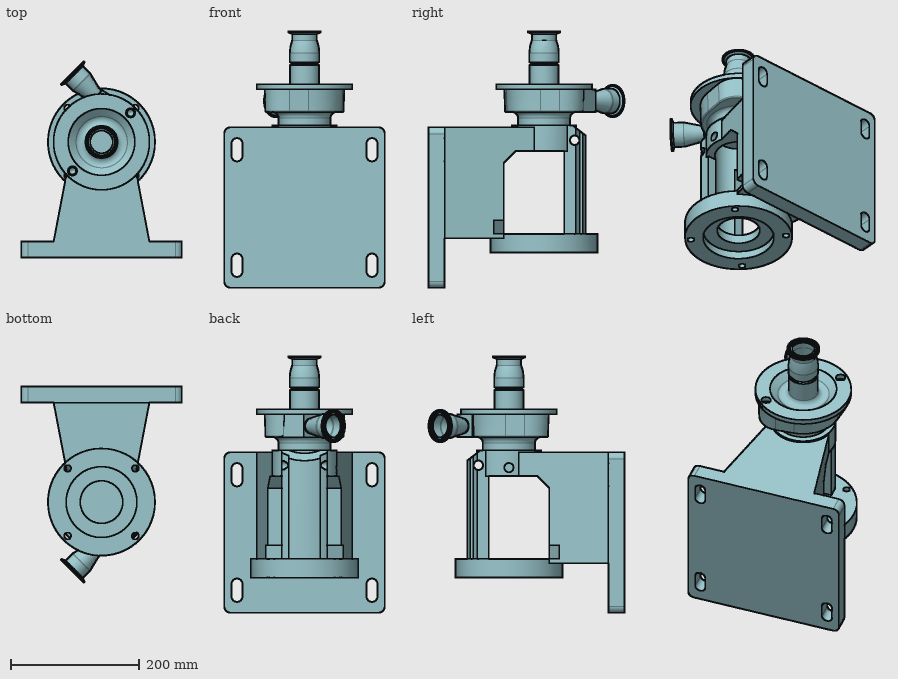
import cadquery as cq
import math


PLATE_SIZE = 250.0
PLATE_THICKNESS = 25.0
PLATE_FACE_Y = -180.2
PLATE_BACK_Y = PLATE_FACE_Y + PLATE_THICKNESS
PLATE_CORNER_RADIUS = 10.0
SLOT_LENGTH = 36.0
SLOT_WIDTH = 16.8
SLOT_PITCH_X = 210.0
SLOT_PITCH_Z = 180.0

WEB_TOP_Z = PLATE_SIZE
WEB_BOTTOM_Z = 77.0
WEB_FRONT_Y = -62.7
WEB_CHAMFER = 18.8
WEB_BACK_HALF_WIDTH = 74.7
WEB_TIP_HALF_WIDTH = 48.0
WEB_TIP_Y = -15.0

LANTERN_BORE_RADIUS = 36.8
UPPER_RING_RADIUS = math.hypot(WEB_TIP_HALF_WIDTH, WEB_TIP_Y)
UPPER_RING_BOTTOM_Z = 213.0
LANTERN_TOP_Z = 253.0
MOTOR_RING_RADIUS = 83.5
MOTOR_RING_BORE_RADIUS = 33.0
MOTOR_PILOT_RADIUS = 55.0
MOTOR_PILOT_DEPTH = 13.5
MOTOR_RING_BOTTOM_Z = 54.7
MOTOR_RING_TOP_Z = 84.0
MOTOR_BOLT_CIRCLE_RADIUS = 74.5
MOTOR_BOLT_HOLE_RADIUS = 5.0
MOTOR_BOLT_COUNT = 4
MOTOR_BOLT_START_ANGLE = 45
COLUMN_HALF_WIDTH = 35.0
COLUMN_FRONT_Y = 31.0
COLUMN_RADIUS = 60.5
RIB_RADIUS = 65.0
RIB_HALF_WIDTH = 24.5
COLUMN_CHAMFER_HEIGHT = 16.0
COLUMN_CHAMFER_DEPTH = 20.8
SIDE_HOLE_RADIUS = 7.0
RING_HOLE_Z = 226.0
COLUMN_HOLE_Y = 47.5
COLUMN_HOLE_Z = 229.8

BOLT_POCKET_TOP_Z = 105.0
BOLT_POCKET_X = 60.0
BOLT_POCKET_Y = -78.5
BOLT_POCKET_ANGLE = 30
BOLT_POCKET_SIZE = 48.0

PUMP_ANGLE = 45
NECK_RADIUS = 40.8
NECK_TOP_Z = 264.5
CASING_BOTTOM_Z = 273.7
CASING_TOP_Z = 309.0
CASING_RADIUS = 59.5
CASING_LENGTH = 147.0
LOBE_RADIUS = 35.0
LOBE_CENTER_U = CASING_LENGTH / 2 - LOBE_RADIUS
CASING_DRAFT = 2
CASING_EDGE_RADIUS = 2.0
COVER_RADIUS = 74.7
COVER_TOP_Z = 317.3
RECESS_RIM_RADIUS = 52.0
RECESS_CONE_RADIUS = 40.0
RECESS_CONE_DEPTH = 10.0
RECESS_HUB_DEPTH = 4.5
COVER_HOLE_POSITION_RADIUS = 64.0
COVER_HOLE_RADIUS = 7.0
TAPPED_HOLE_RADIUS = 5.5
TAPPED_HOLE_DEPTH = 20.0
TAPPED_HOLE_TIP_ANGLE = 118

CLAMP_RADIUS = 25.0
CLAMP_RIM_THICKNESS = 2.0
CLAMP_THICKNESS = 4.5
CLAMP_GROOVE_RADII = (20.8, 22.8)
CLAMP_GROOVE_DEPTH = 1.0
PIPE_RADIUS = 19.0
PIPE_BORE_RADIUS = 17.5
INLET_TOP_Z = 399.5
INLET_RADIUS = 22.8
INLET_SHOULDER_RADIUS = 23.0
INLET_NECK_Z = 385.5
INLET_SHOULDER_Z = 365.5
INLET_GROOVE_RADIUS = 20.8
INLET_GROOVE_Z = (346.5, 349.0, 351.0)
INLET_BORE_FLOOR_Z = 287.7

OUTLET_OFFSET = 44.0
OUTLET_Z = 291.0
OUTLET_FACE_V = 108.3
OUTLET_NECK_LENGTH = 20.0
OUTLET_PAD_V = 56.0
OUTLET_PAD_U = (24.5, 57.5)
OUTLET_ROOT_RADIUS = 11.5
OUTLET_WALL = PIPE_RADIUS - PIPE_BORE_RADIUS


def disc(radius, bottom, top):
    return cq.Workplane("XY").workplane(offset=bottom).circle(radius).extrude(top - bottom)


def cross_hole(radius, y, z, start_x, length):
    """Cylinder along +X for drilling."""
    return cq.Workplane("YZ", origin=(start_x, y, z)).circle(radius).extrude(length)


def clamp():
    """Clamp flange with a sloping back and a gasket groove; its face lies in the plane Z = 0."""
    flange = (
        cq.Workplane("XZ")
        .lineTo(CLAMP_RADIUS, 0)
        .lineTo(CLAMP_RADIUS, -CLAMP_RIM_THICKNESS)
        .lineTo(PIPE_RADIUS, -CLAMP_THICKNESS)
        .lineTo(0, -CLAMP_THICKNESS)
        .close()
        .revolve(360, (0, 0, 0), (0, 1, 0))
    )
    inner, outer = CLAMP_GROOVE_RADII
    return flange.cut(cq.Workplane("XY").circle(outer).circle(inner).extrude(-CLAMP_GROOVE_DEPTH))


def wall_plate():
    plate = (
        cq.Workplane("XZ", origin=(0, PLATE_FACE_Y, PLATE_SIZE / 2))
        .rect(PLATE_SIZE, PLATE_SIZE)
        .extrude(-PLATE_THICKNESS)
        .edges("|Y")
        .fillet(PLATE_CORNER_RADIUS)
    )
    slots = (
        cq.Workplane("XZ", origin=(0, PLATE_FACE_Y, PLATE_SIZE / 2))
        .rect(SLOT_PITCH_X, SLOT_PITCH_Z, forConstruction=True)
        .vertices()
        .slot2D(SLOT_LENGTH, SLOT_WIDTH, 90)
        .extrude(-PLATE_THICKNESS)
    )
    return plate.cut(slots)


def bracket_web():
    """Tapered in plan, with a side profile that leaves room for the coupling."""
    plan = (
        cq.Workplane("XY")
        .polyline(
            [
                (-WEB_BACK_HALF_WIDTH, PLATE_BACK_Y),
                (WEB_BACK_HALF_WIDTH, PLATE_BACK_Y),
                (WEB_TIP_HALF_WIDTH, WEB_TIP_Y),
                (-WEB_TIP_HALF_WIDTH, WEB_TIP_Y),
            ]
        )
        .close()
        .extrude(WEB_TOP_Z)
    )
    side = (
        cq.Workplane("YZ")
        .polyline(
            [
                (PLATE_BACK_Y, WEB_BOTTOM_Z),
                (WEB_FRONT_Y, WEB_BOTTOM_Z),
                (WEB_FRONT_Y, UPPER_RING_BOTTOM_Z - WEB_CHAMFER),
                (WEB_FRONT_Y + WEB_CHAMFER, UPPER_RING_BOTTOM_Z),
                (WEB_TIP_Y, UPPER_RING_BOTTOM_Z),
                (WEB_TIP_Y, WEB_TOP_Z),
                (PLATE_BACK_Y, WEB_TOP_Z),
            ]
        )
        .close()
        .extrude(WEB_BACK_HALF_WIDTH, both=True)
    )
    return plan.intersect(side)


def column():
    """Rear column with a raised central rib and a sloping top."""
    height = LANTERN_TOP_Z - MOTOR_RING_TOP_Z
    base = cq.Workplane("XY").workplane(offset=MOTOR_RING_TOP_Z)
    depth = RIB_RADIUS - COLUMN_FRONT_Y
    middle_y = COLUMN_FRONT_Y + depth / 2
    post = base.circle(COLUMN_RADIUS).extrude(height)
    post = post.intersect(base.center(0, middle_y).rect(2 * COLUMN_HALF_WIDTH, depth).extrude(height))
    rib = base.circle(RIB_RADIUS).extrude(height)
    rib = rib.intersect(base.center(0, middle_y).rect(2 * RIB_HALF_WIDTH, depth).extrude(height))
    slope = (
        cq.Workplane("YZ")
        .polyline(
            [
                (RIB_RADIUS, LANTERN_TOP_Z - COLUMN_CHAMFER_HEIGHT),
                (RIB_RADIUS, LANTERN_TOP_Z),
                (RIB_RADIUS - COLUMN_CHAMFER_DEPTH, LANTERN_TOP_Z),
            ]
        )
        .close()
        .extrude(COLUMN_HALF_WIDTH, both=True)
    )
    return post.union(rib).cut(slope)


def motor_ring():
    ring = disc(MOTOR_RING_RADIUS, MOTOR_RING_BOTTOM_Z, MOTOR_RING_TOP_Z)
    bore = disc(MOTOR_RING_BORE_RADIUS, MOTOR_RING_BOTTOM_Z, MOTOR_RING_TOP_Z)
    pilot = disc(MOTOR_PILOT_RADIUS, MOTOR_RING_BOTTOM_Z, MOTOR_RING_BOTTOM_Z + MOTOR_PILOT_DEPTH)
    return ring.cut(bore).cut(pilot)


def motor_bolt_holes():
    return (
        cq.Workplane("XY")
        .workplane(offset=MOTOR_RING_BOTTOM_Z)
        .polarArray(MOTOR_BOLT_CIRCLE_RADIUS, MOTOR_BOLT_START_ANGLE, 360, MOTOR_BOLT_COUNT)
        .circle(MOTOR_BOLT_HOLE_RADIUS)
        .extrude(BOLT_POCKET_TOP_Z - MOTOR_RING_BOTTOM_Z)
    )


def bolt_pocket():
    """Corner cut on the -X side of the web, above the motor ring."""
    return (
        cq.Workplane("XY")
        .rect(2 * BOLT_POCKET_SIZE, BOLT_POCKET_SIZE)
        .extrude(BOLT_POCKET_TOP_Z - MOTOR_RING_TOP_Z)
        .translate((0, BOLT_POCKET_SIZE / 2, 0))
        .rotate((0, 0, 0), (0, 0, 1), BOLT_POCKET_ANGLE)
        .translate((-BOLT_POCKET_X, BOLT_POCKET_Y, MOTOR_RING_TOP_Z))
    )


def mount():
    """Wall plate, web and lantern."""
    upper_ring = disc(UPPER_RING_RADIUS, UPPER_RING_BOTTOM_Z, LANTERN_TOP_Z)
    lantern = upper_ring.union(column()).union(bracket_web())
    lantern = lantern.cut(disc(LANTERN_BORE_RADIUS, MOTOR_RING_TOP_Z, LANTERN_TOP_Z))
    lantern = lantern.cut(
        cross_hole(SIDE_HOLE_RADIUS, COLUMN_HOLE_Y, COLUMN_HOLE_Z, -COLUMN_HALF_WIDTH, 2 * COLUMN_HALF_WIDTH)
    )
    lantern = lantern.cut(cross_hole(SIDE_HOLE_RADIUS, 0, RING_HOLE_Z, -UPPER_RING_RADIUS, UPPER_RING_RADIUS))
    pocket = bolt_pocket()
    lantern = lantern.cut(pocket).cut(pocket.mirror("YZ"))
    return lantern.union(motor_ring()).cut(motor_bolt_holes()).union(wall_plate())


def casing_body():
    """Drafted oblong in the U-V frame: a central circle joined by tangents to a lobe at each end."""
    normal_u = (CASING_RADIUS - LOBE_RADIUS) / LOBE_CENTER_U
    normal_v = math.sqrt(1 - normal_u**2)
    middle_end = (CASING_RADIUS * normal_u, CASING_RADIUS * normal_v)
    lobe_end = (LOBE_CENTER_U + LOBE_RADIUS * normal_u, LOBE_RADIUS * normal_v)
    return (
        cq.Workplane("XY")
        .workplane(offset=CASING_TOP_Z)
        .moveTo(-middle_end[0], middle_end[1])
        .threePointArc((0, CASING_RADIUS), middle_end)
        .lineTo(*lobe_end)
        .threePointArc((CASING_LENGTH / 2, 0), (lobe_end[0], -lobe_end[1]))
        .lineTo(middle_end[0], -middle_end[1])
        .threePointArc((0, -CASING_RADIUS), (-middle_end[0], -middle_end[1]))
        .lineTo(-lobe_end[0], -lobe_end[1])
        .threePointArc((-CASING_LENGTH / 2, 0), (-lobe_end[0], lobe_end[1]))
        .close()
        .extrude(CASING_BOTTOM_Z - CASING_TOP_Z, taper=CASING_DRAFT)
        .faces("<Z")
        .edges()
        .fillet(CASING_EDGE_RADIUS)
    )


def outlet_pad():
    """Block in the U-V frame whose outer side runs tangentially into the +U lobe."""
    inner_u, outer_u = OUTLET_PAD_U
    height = CASING_TOP_Z - CASING_BOTTOM_Z
    draft_inset = height * math.tan(math.radians(CASING_DRAFT))
    lobe_radius = LOBE_RADIUS - draft_inset - CASING_EDGE_RADIUS
    corner_distance = math.hypot(outer_u - LOBE_CENTER_U, OUTLET_PAD_V)
    corner_angle = math.atan2(OUTLET_PAD_V, outer_u - LOBE_CENTER_U)
    tangent_angle = corner_angle - math.acos(lobe_radius / corner_distance)
    tangent_u = LOBE_CENTER_U + lobe_radius * math.cos(tangent_angle)
    tangent_v = lobe_radius * math.sin(tangent_angle)
    return (
        cq.Workplane("XY")
        .workplane(offset=CASING_BOTTOM_Z)
        .polyline(
            [
                (inner_u, 0),
                (inner_u, OUTLET_PAD_V),
                (outer_u, OUTLET_PAD_V),
                (tangent_u, tangent_v),
                (LOBE_CENTER_U, 0),
            ]
        )
        .close()
        .extrude(height)
    )


def casing():
    """Casing with its outlet pad, on a flared round neck."""
    body = casing_body().union(outlet_pad()).rotate((0, 0, 0), (0, 0, 1), PUMP_ANGLE)
    flare_radius = CASING_BOTTOM_Z - NECK_TOP_Z
    neck = (
        cq.Workplane("XZ")
        .moveTo(0, LANTERN_TOP_Z)
        .lineTo(NECK_RADIUS, LANTERN_TOP_Z)
        .lineTo(NECK_RADIUS, NECK_TOP_Z)
        .radiusArc((NECK_RADIUS + flare_radius, CASING_BOTTOM_Z), flare_radius)
        .lineTo(0, CASING_BOTTOM_Z)
        .close()
        .revolve(360, (0, 0, 0), (0, 1, 0))
    )
    return body.union(neck)


def cover():
    return disc(COVER_RADIUS, CASING_TOP_Z, COVER_TOP_Z)


def cover_screw_holes():
    """Clearance holes through the cover over smaller drilled holes with conical floors in the lobes."""
    floor_z = CASING_TOP_Z - TAPPED_HOLE_DEPTH
    tip_depth = TAPPED_HOLE_RADIUS / math.tan(math.radians(TAPPED_HOLE_TIP_ANGLE / 2))
    hole = (
        cq.Workplane("XZ")
        .moveTo(0, COVER_TOP_Z)
        .lineTo(COVER_HOLE_RADIUS, COVER_TOP_Z)
        .lineTo(COVER_HOLE_RADIUS, CASING_TOP_Z)
        .lineTo(TAPPED_HOLE_RADIUS, CASING_TOP_Z)
        .lineTo(TAPPED_HOLE_RADIUS, floor_z)
        .lineTo(0, floor_z - tip_depth)
        .close()
        .revolve(360, (0, 0, 0), (0, 1, 0))
    )
    hole = hole.translate((COVER_HOLE_POSITION_RADIUS, 0, 0)).rotate((0, 0, 0), (0, 0, 1), PUMP_ANGLE)
    return hole.union(hole.rotate((0, 0, 0), (0, 0, 1), 180))


def cover_recess():
    """Ring-shaped dish: a cone that runs tangentially into a hollow around the inlet."""
    cone_z = COVER_TOP_Z - RECESS_CONE_DEPTH
    return (
        cq.Workplane("XZ")
        .moveTo(RECESS_RIM_RADIUS, COVER_TOP_Z)
        .lineTo(RECESS_CONE_RADIUS, cone_z)
        .tangentArcPoint((INLET_RADIUS, COVER_TOP_Z - RECESS_HUB_DEPTH), relative=False)
        .lineTo(INLET_RADIUS, COVER_TOP_Z)
        .close()
        .revolve(360, (0, 0, 0), (0, 1, 0))
    )


def inlet():
    clamp_z = INLET_TOP_Z - CLAMP_THICKNESS
    groove_bottom, groove_slope_top, groove_top = INLET_GROOVE_Z
    pipe = (
        cq.Workplane("XZ")
        .moveTo(0, CASING_TOP_Z)
        .lineTo(INLET_RADIUS, CASING_TOP_Z)
        .lineTo(INLET_RADIUS, groove_bottom)
        .lineTo(INLET_GROOVE_RADIUS, groove_slope_top)
        .lineTo(INLET_GROOVE_RADIUS, groove_top)
        .lineTo(INLET_SHOULDER_RADIUS, groove_top)
        .lineTo(INLET_SHOULDER_RADIUS, INLET_SHOULDER_Z)
        .tangentArcPoint((PIPE_RADIUS, INLET_NECK_Z), relative=False)
        .lineTo(PIPE_RADIUS, clamp_z)
        .lineTo(0, clamp_z)
        .close()
        .revolve(360, (0, 0, 0), (0, 1, 0))
    )
    return pipe.union(clamp().translate((0, 0, INLET_TOP_Z)))


def outlet_profile(shrink, end_z):
    """Tapered pipe from the pad up to end_z, reduced by a wall thickness; Z = 0 is the clamp face."""
    root_z = OUTLET_PAD_V - OUTLET_FACE_V
    return (
        cq.Workplane("XZ")
        .moveTo(0, root_z)
        .lineTo(OUTLET_ROOT_RADIUS - shrink, root_z)
        .lineTo(PIPE_RADIUS - shrink, -OUTLET_NECK_LENGTH)
        .lineTo(PIPE_RADIUS - shrink, end_z)
        .lineTo(0, end_z)
        .close()
        .revolve(360, (0, 0, 0), (0, 1, 0))
    )


def place_outlet(shape):
    """Move a shape built along Z, with its face at Z = 0, to the outlet's place."""
    return (
        shape.rotate((0, 0, 0), (1, 0, 0), -90)
        .translate((OUTLET_OFFSET, OUTLET_FACE_V, OUTLET_Z))
        .rotate((0, 0, 0), (0, 0, 1), PUMP_ANGLE)
    )


def pump():
    body = casing().union(cover()).cut(cover_screw_holes()).cut(cover_recess()).union(inlet())
    body = body.cut(disc(PIPE_BORE_RADIUS, INLET_BORE_FLOOR_Z, INLET_TOP_Z))
    outlet = outlet_profile(0, -CLAMP_THICKNESS).union(clamp())
    return body.union(place_outlet(outlet)).cut(place_outlet(outlet_profile(OUTLET_WALL, 0)))


result = mount().union(pump())